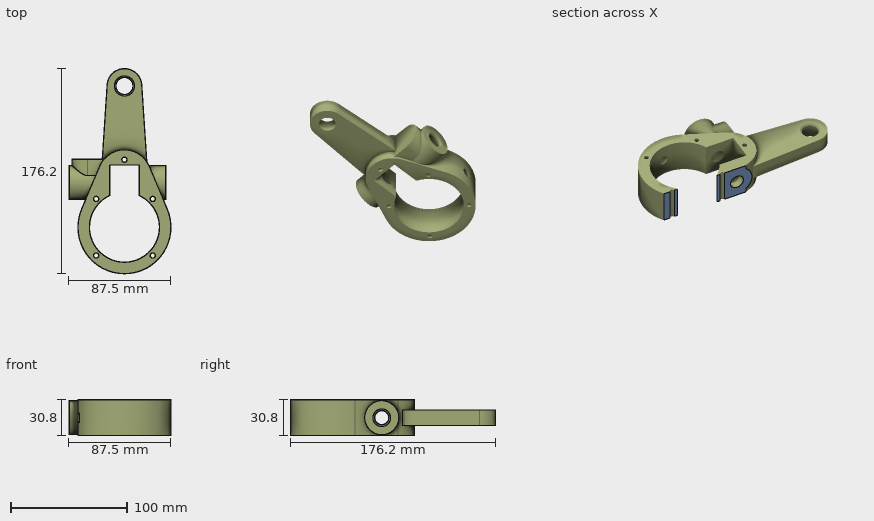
import cadquery as cq
import math

housing_height = 30.8
ring_radius = 40.0
bore_radius = 30.0
nose_radius = 23.0
nose_tip_y = 66.5
nose_y = nose_tip_y - nose_radius

slot_width = 25.0
slot_end_y = 53.4
slot_corner_radius = 0.5

total_length = 176.2
arm_thickness = 13.5
arm_end_radius = 15.0
arm_end_y = total_length - ring_radius - arm_end_radius
arm_root_half_width = 19.2
arm_root_y = 56.4
arm_hole_radius = 7.2
arm_hole_chamfer = 1.4

tube_y = 38.4
tube_radius = 14.6
tube_min_x = -47.5
tube_max_x = 35.6
tube_bore_radius = 6.0
tube_bore_chamfer = 1.5
lug_radius = 13.4
lug_x = -31.7
lug_end_y = 58.5

screw_radius = 2.1
screw_circle_radius = 34.4
nose_screw_y = 58.0
side_hole_angle = 10.0
side_hole_radius = 4.2


def tapered_plate(start_y, start_radius, end_y, end_radius, height):
    """Plate around two circles on the Y axis, joined by their common tangents."""
    sine = (start_radius - end_radius) / (end_y - start_y)
    cosine = math.sqrt(1 - sine**2)
    start_x = start_radius * cosine
    start_tangent_y = start_y + start_radius * sine
    end_x = end_radius * cosine
    end_tangent_y = end_y + end_radius * sine
    return (
        cq.Workplane("XY")
        .workplane(offset=-height / 2)
        .moveTo(start_x, start_tangent_y)
        .lineTo(end_x, end_tangent_y)
        .threePointArc((0, end_y + end_radius), (-end_x, end_tangent_y))
        .lineTo(-start_x, start_tangent_y)
        .threePointArc((0, start_y - start_radius), (start_x, start_tangent_y))
        .close()
        .extrude(height)
    )


def x_cylinder(y, radius, min_x, max_x):
    return cq.Workplane("YZ").workplane(offset=min_x).center(y, 0).circle(radius).extrude(max_x - min_x)


def z_cylinder(x, y, radius, height):
    return cq.Workplane("XY").center(x, y).circle(radius).extrude(height / 2, both=True)


def make_arm():
    arm = tapered_plate(arm_root_y, arm_root_half_width, arm_end_y, arm_end_radius, arm_thickness)
    hole = z_cylinder(0, arm_end_y, arm_hole_radius, arm_thickness)
    chamfer = cq.Solid.makeCone(
        arm_hole_radius,
        arm_hole_radius + arm_hole_chamfer,
        arm_hole_chamfer,
        cq.Vector(0, arm_end_y, arm_thickness / 2 - arm_hole_chamfer),
    )
    return arm.cut(hole).cut(cq.Workplane(chamfer))


def make_lug():
    length = lug_end_y - tube_y
    rounded = cq.Workplane("XZ", origin=(lug_x, lug_end_y, 0)).circle(lug_radius).extrude(length)
    bridge = cq.Workplane("XY").box(-lug_x, length, 2 * lug_radius, centered=(False, False, True))
    return rounded.union(bridge.translate((lug_x, tube_y, 0)))


def make_cavity():
    bore = z_cylinder(0, 0, bore_radius, housing_height)
    slot = cq.Workplane("XY").box(slot_width, slot_end_y, housing_height, centered=(True, False, True))
    slot = slot.edges("|Z and >Y").fillet(slot_corner_radius)
    return bore.union(slot)


def make_tube_bore():
    bore = x_cylinder(tube_y, tube_bore_radius, tube_min_x, tube_max_x)
    mouth_radius = tube_bore_radius + tube_bore_chamfer
    direction = cq.Vector(1, 0, 0)
    for x, sign in ((tube_min_x, 1), (tube_max_x, -1)):
        cone = cq.Solid.makeCone(
            mouth_radius, tube_bore_radius, tube_bore_chamfer, cq.Vector(x, tube_y, 0), direction * sign
        )
        bore = bore.union(cq.Workplane(cone))
    return bore


def make_screw_holes():
    holes = z_cylinder(0, nose_screw_y, screw_radius, housing_height)
    for angle in (45, 135, 225, 315):
        x = screw_circle_radius * math.cos(math.radians(angle))
        y = screw_circle_radius * math.sin(math.radians(angle))
        holes = holes.union(z_cylinder(x, y, screw_radius, housing_height))
    return holes


housing = tapered_plate(0, ring_radius, nose_y, nose_radius, housing_height)
tube = x_cylinder(tube_y, tube_radius, tube_min_x, tube_max_x)
side_hole = x_cylinder(0, side_hole_radius, -ring_radius - side_hole_radius, 0)
side_hole = side_hole.rotate((0, 0, 0), (0, 0, 1), side_hole_angle)

result = (
    housing.union(make_arm())
    .union(tube)
    .union(make_lug())
    .cut(make_cavity())
    .cut(make_tube_bore())
    .cut(make_screw_holes())
    .cut(side_hole)
)